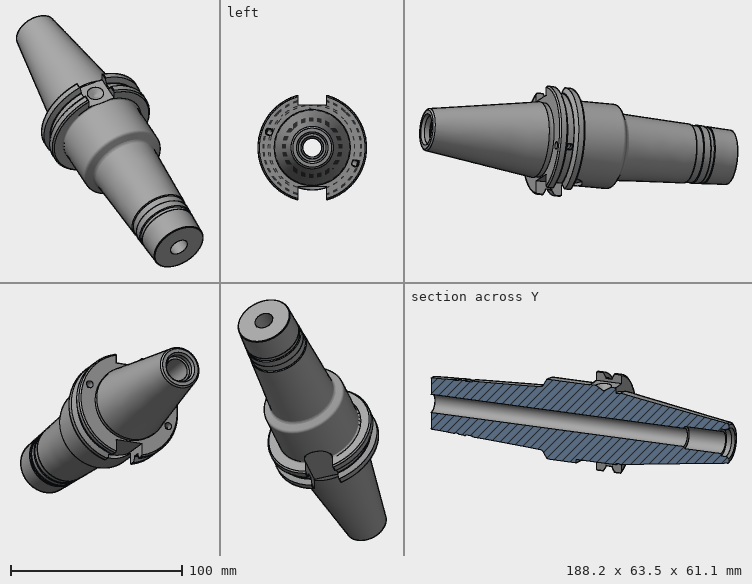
import cadquery as cq
import math


GAUGE_DIA = 44.45
TAPER_LENGTH = 68.25
TAPER_SLOPE = 7 / 24 / 2
SHANK_CHAMFER = 0.9
NECK_DIA = 43.6
NECK_CONE_LENGTH = 1.6

FLANGE_DIA = 63.5
FLANGE_BACK = 3.18
FLANGE_FRONT = 19.05
FLANGE_CHAMFER = 0.9
V_CENTRE = 11.1
V_FLOOR_DIA = 56.4
V_FLOOR_WIDTH = 4.0
V_MOUTH_WIDTH = 7.4
V_HALF_ANGLE = 30

BODY_DIA = 49.5
BODY_FILLET = 1.0
SHOULDER_START = 46.9
SHOULDER_ANGLE = 30
SHOULDER_FILLET = 2.0

NOSE_END = 120.0
NOSE_END_DIA = 32.0
NOSE_ANGLE = 3
NOSE_CHAMFER = 0.4
GROOVE_DEPTH = 0.5
NOSE_GROOVE_FLOORS = [(94.1, 98.1), (103.1, 105.0)]

PILOT_DIA = 16.3
PILOT_DEPTH = 5.0
MOUTH_DIA = 18.4
MOUTH_HALF_ANGLE = 30
THREAD_DIA = 13.39
THREAD_DEPTH = 28.0
BORE_DIA = 10.92
BORE_ENTRY_DIA = 13.0
BORE_ENTRY_HALF_ANGLE = 59

SLOT_WIDTH = 16.38
SLOT_MOUTH_CHAMFER = 0.5
TOP_SLOT_FLOOR = 25.0
BOTTOM_SLOT_FLOOR = 22.6
DIMPLE_DIA = 9.53
DIMPLE_TIP_ANGLE = 118

PORT_ANGLE = 20
PORT_CIRCLE_RADIUS = 26.8
AXIAL_PORT_DIA = 4.2
RADIAL_PORT_DIA = 3.24
RADIAL_PORT_MOUTH_DIA = 4.0
COUNTERSINK_HALF_ANGLE = 45
RADIAL_PORT_FLOOR = 24.8

SELECT_MARGIN = 0.01


def slope(angle):
    return math.tan(math.radians(angle))


def nose_radius(x):
    return NOSE_END_DIA / 2 + (NOSE_END - x) * slope(NOSE_ANGLE)


def revolve_about_x(profile):
    return profile.close().revolve(360, (0, 0, 0), (1, 0, 0))


def cylinder(x0, x1, dia):
    return cq.Workplane("YZ", origin=(x0, 0, 0)).circle(dia / 2).extrude(x1 - x0)


def cone(x0, start_dia, end_dia, half_angle):
    length = (start_dia - end_dia) / 2 / slope(half_angle)
    start = cq.Vector(x0, 0, 0)
    return cq.Workplane(cq.Solid.makeCone(start_dia / 2, end_dia / 2, length, start, cq.Vector(1, 0, 0)))


def make_shank():
    end_radius = GAUGE_DIA / 2 - TAPER_LENGTH * TAPER_SLOPE
    profile = (
        cq.Workplane("XY")
        .moveTo(-TAPER_LENGTH, 0)
        .lineTo(-TAPER_LENGTH, end_radius)
        .lineTo(0, GAUGE_DIA / 2)
        .lineTo(NECK_CONE_LENGTH, NECK_DIA / 2)
        .lineTo(FLANGE_BACK, NECK_DIA / 2)
        .lineTo(FLANGE_BACK, 0)
    )
    return revolve_about_x(profile).faces("<X").chamfer(SHANK_CHAMFER)


def make_flange():
    flange = cylinder(FLANGE_BACK, FLANGE_FRONT, FLANGE_DIA)
    flange = flange.faces("<X or >X").chamfer(FLANGE_CHAMFER)
    half_floor = V_FLOOR_WIDTH / 2
    half_mouth = V_MOUTH_WIDTH / 2
    channel_top = FLANGE_DIA / 2 - (half_mouth - half_floor) / slope(V_HALF_ANGLE)
    groove = (
        cq.Workplane("XY")
        .moveTo(V_CENTRE - half_floor, V_FLOOR_DIA / 2)
        .lineTo(V_CENTRE + half_floor, V_FLOOR_DIA / 2)
        .lineTo(V_CENTRE + half_floor, channel_top)
        .lineTo(V_CENTRE + half_mouth, FLANGE_DIA / 2)
        .lineTo(V_CENTRE - half_mouth, FLANGE_DIA / 2)
        .lineTo(V_CENTRE - half_floor, channel_top)
    )
    return flange.cut(revolve_about_x(groove))


def make_body_and_nose():
    body_radius = BODY_DIA / 2
    shoulder_slope = 1 / slope(SHOULDER_ANGLE)
    step = body_radius - nose_radius(SHOULDER_START)
    shoulder_end = SHOULDER_START + step / (shoulder_slope - slope(NOSE_ANGLE))
    profile = (
        cq.Workplane("XY")
        .moveTo(FLANGE_BACK, 0)
        .lineTo(FLANGE_BACK, body_radius)
        .lineTo(SHOULDER_START, body_radius)
        .lineTo(shoulder_end, nose_radius(shoulder_end))
        .lineTo(NOSE_END, NOSE_END_DIA / 2)
        .lineTo(NOSE_END, 0)
    )
    body = revolve_about_x(profile)
    shoulder_box = cq.selectors.BoxSelector(
        (SHOULDER_START - SHOULDER_FILLET, -BODY_DIA, -BODY_DIA),
        (shoulder_end + SHOULDER_FILLET, BODY_DIA, BODY_DIA),
    )
    body = body.edges("%CIRCLE").edges(shoulder_box).fillet(SHOULDER_FILLET)
    body = body.faces(">X").chamfer(NOSE_CHAMFER)
    for start, end in NOSE_GROOVE_FLOORS:
        body = body.cut(nose_groove(start, end))
    return body


def nose_groove(start, end):
    outer = BODY_DIA / 2
    start_floor = nose_radius(start) - GROOVE_DEPTH
    end_floor = nose_radius(end) - GROOVE_DEPTH
    profile = (
        cq.Workplane("XY")
        .moveTo(start, start_floor)
        .lineTo(end, end_floor)
        .lineTo(end + outer - end_floor, outer)
        .lineTo(start - outer + start_floor, outer)
    )
    return revolve_about_x(profile)


def make_root_fillet():
    body_radius = BODY_DIA / 2
    arc_end = FLANGE_FRONT + BODY_FILLET
    profile = (
        cq.Workplane("XY")
        .moveTo(FLANGE_FRONT, body_radius + BODY_FILLET)
        .radiusArc((arc_end, body_radius), -BODY_FILLET)
        .lineTo(arc_end, body_radius - BODY_FILLET)
        .lineTo(FLANGE_FRONT, body_radius - BODY_FILLET)
    )
    return revolve_about_x(profile)


def make_bore():
    bore = cylinder(-TAPER_LENGTH, NOSE_END, BORE_DIA)
    bore = bore.union(cylinder(-TAPER_LENGTH, -TAPER_LENGTH + THREAD_DEPTH, THREAD_DIA))
    bore = bore.union(cylinder(-TAPER_LENGTH, -TAPER_LENGTH + PILOT_DEPTH, PILOT_DIA))
    bore = bore.union(cone(-TAPER_LENGTH + THREAD_DEPTH, BORE_ENTRY_DIA, BORE_DIA, BORE_ENTRY_HALF_ANGLE))
    return bore.union(cone(-TAPER_LENGTH, MOUTH_DIA, PILOT_DIA, MOUTH_HALF_ANGLE))


def make_drive_slots():
    height = FLANGE_DIA / 2
    length = FLANGE_FRONT + BODY_FILLET - FLANGE_BACK
    centre_x = FLANGE_BACK + length / 2
    top = cq.Workplane("XY", origin=(centre_x, 0, TOP_SLOT_FLOOR))
    top = top.rect(length, SLOT_WIDTH).extrude(height)
    bottom = cq.Workplane("XY", origin=(centre_x, 0, -BOTTOM_SLOT_FLOOR))
    bottom = bottom.rect(length, SLOT_WIDTH).extrude(-height)
    runout = cq.Workplane("XY", origin=(FLANGE_BACK + length, 0, -BOTTOM_SLOT_FLOOR))
    runout = runout.circle(SLOT_WIDTH / 2).extrude(-height)
    return top.union(bottom).union(runout)


def chamfer_slot_mouths(part):
    wall_y = SLOT_WIDTH / 2
    edge_z = math.sqrt((FLANGE_DIA / 2) ** 2 - wall_y**2)
    for y in (-wall_y, wall_y):
        for z in (-edge_z, edge_z):
            mouth_edges = cq.selectors.BoxSelector(
                (FLANGE_BACK, y - SELECT_MARGIN, z - SELECT_MARGIN),
                (FLANGE_FRONT, y + SELECT_MARGIN, z + SELECT_MARGIN),
            )
            part = part.edges("|X").edges(mouth_edges).chamfer(SLOT_MOUTH_CHAMFER)
    return part


def make_dimple():
    radius = DIMPLE_DIA / 2
    depth = radius / slope(DIMPLE_TIP_ANGLE / 2)
    base = cq.Vector(V_CENTRE, 0, TOP_SLOT_FLOOR)
    return cq.Workplane(cq.Solid.makeCone(radius, 0, depth, base, cq.Vector(0, 0, -1)))


def make_coolant_port():
    axial = cylinder(FLANGE_BACK, V_CENTRE, AXIAL_PORT_DIA).translate((0, PORT_CIRCLE_RADIUS, 0))
    groove_floor = V_FLOOR_DIA / 2
    radial = cylinder(-groove_floor, -RADIAL_PORT_FLOOR, RADIAL_PORT_DIA)
    mouth = cone(-groove_floor, RADIAL_PORT_MOUTH_DIA, RADIAL_PORT_DIA, COUNTERSINK_HALF_ANGLE)
    clearance = cylinder(-FLANGE_DIA / 2, -groove_floor, RADIAL_PORT_MOUTH_DIA)
    radial = radial.union(mouth).union(clearance)
    radial = radial.rotate((0, 0, 0), (0, 0, 1), -90).translate((V_CENTRE, 0, 0))
    return axial.union(radial).rotate((0, 0, 0), (1, 0, 0), PORT_ANGLE)


result = make_shank().union(make_flange()).union(make_body_and_nose()).union(make_root_fillet())
result = result.cut(make_bore()).cut(make_drive_slots()).cut(make_dimple())
result = chamfer_slot_mouths(result)
coolant_port = make_coolant_port()
for turn in (0, 180):
    result = result.cut(coolant_port.rotate((0, 0, 0), (1, 0, 0), turn))